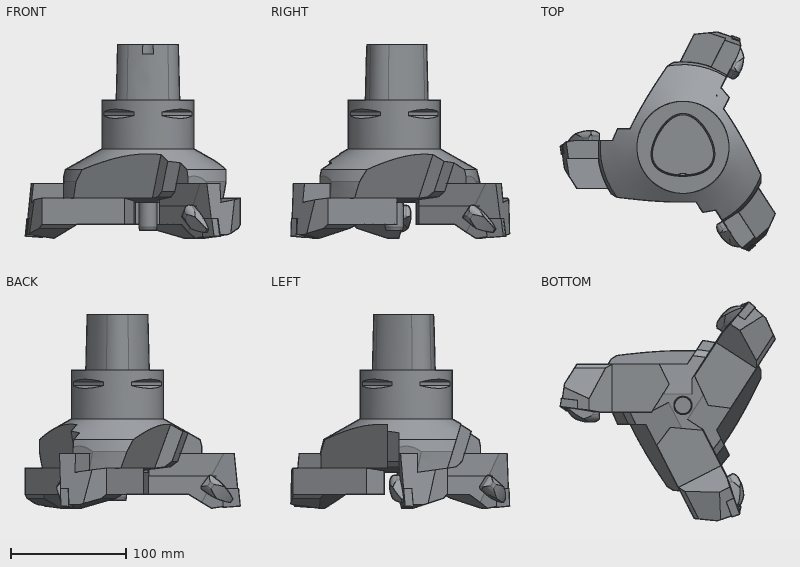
import cadquery as cq
import math

ARM_ANGLES = [180, 303, 63]
REACH = 152.1

TOP_Z = 168.5
FLANGE_TOP_Z = 120.2
FLANGE_BOTTOM_Z = 77.8
FLANGE_RADIUS = 80.0 / 2
SHANK_RADIUS = 27.4
SHANK_LOBE = 2.0
LOBE_HALF_ANGLE = 24
SHANK_SPLINE_SPANS = 12
SHANK_TAPER = 1 / 40
KEYWAY_RADIUS = 8.5
KEYWAY_FLOOR = 22.6
KEYWAY_DEPTH = 8.4
GRIP_Z = 108.2
GRIP_FLOOR = 35.5
GRIP_FLOOR_HEIGHT = 3.0
GRIP_MOUTH_HEIGHT = 8.0

CONE_RADIUS = 71.9
CONE_BOTTOM_Z = 59.7
BAND_RADIUS = 74.4
BAND_BOTTOM_RADIUS = 73.8
BAND_TOP_Z = 49.3
HOUSING_BOTTOM_Z = 31.4
ARM_END_FLAT = 73.2
HUB_RADIUS = 16.0 / 2
HUB_BOTTOM_Z = 7.0
HUB_CHAMFER_HEIGHT = 2.7
HUB_CHAMFER = 0.8

NOTCH_Z = 72.8
NOTCH_LEAN = math.tan(math.radians(20))
NOTCH_INNER_X = 46.0
NOTCH_STEP_X = 59.0
NOTCH_OUTER_X = 63.9
NOTCH_STEP_Y = -16.4
NOTCH_CHAMFER = 4.4
NOTCH_CHAMFER_NEAR = (48.7, -11.2, 36.7)

FACE_Y = -6.0
RAIL_BACK_Y = 9.9
SLIDE_BACK_Y = 36.0
RAIL_TOP_Z = 47.7
LEDGE_BACK_Z = 35.0
FACE_STEP_Z = 28.1
FACE_STEP = 0.5
BAR_BOTTOM_Z = 12.2
UNDERSIDE_BEND = (32.5, 8.7)
UNDERSIDE_FLAT_Y = 5.9
INNER_FACE_X = 27.4
INNER_POINT = (12.0, 18.5)
INNER_BACK_X = 20.5
BACK_CORNER_X = 92.0
BACK_CUT_SLOPE = 0.64
TOE_START_X = 61.6
TOE_X = 81.5
END_X = 106.7
END_Y = -4.8
END_SKEW = 0.14
END_DRAFT = 0.11
TOE_RISE = 3.8

HINGE_X = 92.2
HINGE_ANGLE = 29
TIP_TILT = 0.15

INSERT_INNER_X = 91.7
INSERT_TOP_Z = 17.3
INSERT_INNER_Z = 0.8
INSERT_TIP_Z = 1.9
INSERT_THICKNESS = 7.2
INSERT_OVERHANG = 0.8

CLAMP_X = 75.9
CLAMP_Z = 23.8
CLAMP_ANGLE = 36.5
CLAMP_LENGTH = 29.0
CLAMP_WIDTH = 14.8
CLAMP_TIP_WIDTH = 3.8
CLAMP_SHOULDER = 8.4
CLAMP_BEND = 20.0
CLAMP_BEND_HALF_WIDTH = 5.5
CLAMP_BACK_CORNER = 2.3
CLAMP_TOP = 14.5
CLAMP_BACK_HEIGHT = 9.9
CLAMP_BEND_HEIGHT = 10.5
CLAMP_TIP_HEIGHT = 4.2
CLAMP_ARCH_START = 8.0
CLAMP_ARCH_MIDDLE = (5.7, 12.4)
CLAMP_CROWN_WIDTH = 4.5
CLAMP_CROWN_START = 4.5
CLAMP_BACK_ARC_MIDDLE = (1.1, 13.0)


def turned(shape, angle):
    return shape.rotate((0, 0, 0), (0, 0, 1), angle)


def leaning_prism(points, z, rise, lean):
    """Prism on the plan polygon at height z; its top is shifted by lean along X."""
    base = cq.Wire.makePolygon([cq.Vector(x, y, z) for x, y in points], close=True)
    return cq.Workplane(cq.Solid.extrudeLinear(base, [], cq.Vector(lean, 0, rise)))


def across(points, y_start, y_end):
    """Prism on a polygon in X and Z, running along Y."""
    plane = cq.Plane(origin=(0, y_start, 0), xDir=(1, 0, 0), normal=(0, -1, 0))
    return cq.Workplane(plane).polyline(points).close().extrude(y_start - y_end)


def along(points, x_start, x_end):
    """Prism on a polygon in Y and Z, running along X."""
    return cq.Workplane("YZ", origin=(x_start, 0, 0)).polyline(points).close().extrude(x_end - x_start)


def shank_wire(radius, z):
    """Rounded-triangle outline with one lobe towards +Y, split at both sides of every lobe."""

    def point(degrees):
        angle = math.radians(degrees)
        x = radius * math.cos(angle) - SHANK_LOBE * math.sin(2 * angle)
        y = radius * math.sin(angle) - SHANK_LOBE * math.cos(2 * angle)
        return cq.Vector(x, y, z)

    edges = []
    for lobe in (90, 210, 330):
        corners = [lobe - LOBE_HALF_ANGLE, lobe + LOBE_HALF_ANGLE, lobe + 120 - LOBE_HALF_ANGLE]
        for start, stop in zip(corners, corners[1:]):
            step = (stop - start) / SHANK_SPLINE_SPANS
            edges.append(cq.Edge.makeSpline([point(start + step * k) for k in range(SHANK_SPLINE_SPANS + 1)]))
    return cq.Wire.assembleEdges(edges)


def make_shank():
    height = TOP_Z - FLANGE_TOP_Z
    base = shank_wire(SHANK_RADIUS, FLANGE_TOP_Z)
    top = shank_wire(SHANK_RADIUS - SHANK_TAPER * height, TOP_Z)
    shank = cq.Workplane(cq.Solid.makeLoft([base, top], True))
    keyway = (
        cq.Workplane("XY", origin=(0, -KEYWAY_FLOOR - KEYWAY_RADIUS, TOP_Z))
        .circle(KEYWAY_RADIUS)
        .extrude(-KEYWAY_DEPTH)
    )
    return shank.cut(keyway)


def make_grip_groove():
    slope = (GRIP_MOUTH_HEIGHT - GRIP_FLOOR_HEIGHT) / 2 / (FLANGE_RADIUS - GRIP_FLOOR)
    outer = FLANGE_RADIUS + 1.9
    floor_half = GRIP_FLOOR_HEIGHT / 2
    outer_half = floor_half + slope * (outer - GRIP_FLOOR)
    section = [
        (GRIP_FLOOR, GRIP_Z - floor_half),
        (outer, GRIP_Z - outer_half),
        (outer, GRIP_Z + outer_half),
        (GRIP_FLOOR, GRIP_Z + floor_half),
    ]
    return across(section, -FLANGE_RADIUS, FLANGE_RADIUS)


def make_core():
    profile = [
        (0, HUB_BOTTOM_Z),
        (HUB_RADIUS - HUB_CHAMFER, HUB_BOTTOM_Z),
        (HUB_RADIUS, HUB_BOTTOM_Z + HUB_CHAMFER_HEIGHT),
        (HUB_RADIUS, HOUSING_BOTTOM_Z),
        (BAND_BOTTOM_RADIUS, HOUSING_BOTTOM_Z),
        (BAND_RADIUS, BAND_TOP_Z),
        (CONE_RADIUS, CONE_BOTTOM_Z),
        (FLANGE_RADIUS, FLANGE_BOTTOM_Z),
        (FLANGE_RADIUS, FLANGE_TOP_Z),
        (0, FLANGE_TOP_Z),
    ]
    return cq.Workplane("XZ").polyline(profile).close().revolve(360, (0, 0), (0, 1))


def make_chip_notch(pitch):
    """Space in front of an arm, up to the flank that runs parallel to the next arm."""
    flank = math.radians(pitch)
    outline = [
        (REACH, FACE_Y),
        (NOTCH_OUTER_X, FACE_Y),
        (NOTCH_STEP_X, NOTCH_STEP_Y),
        (NOTCH_INNER_X, NOTCH_STEP_Y),
        (NOTCH_INNER_X + REACH * math.cos(flank), NOTCH_STEP_Y - REACH * math.sin(flank)),
        (REACH, -REACH),
    ]
    top = FLANGE_BOTTOM_Z - NOTCH_Z
    upper = leaning_prism(outline, NOTCH_Z, top, NOTCH_LEAN * top)
    lower = leaning_prism(outline, NOTCH_Z, -NOTCH_Z, -NOTCH_LEAN * NOTCH_Z)
    front_side = cq.Workplane("XY").box(REACH, REACH, REACH, centered=False).translate((0, FACE_Y - REACH, 0))
    underside = turned(make_ledge_relief(-REACH), -pitch).intersect(front_side)
    notch = upper.union(lower).union(underside)
    edge = cq.NearestToPointSelector(NOTCH_CHAMFER_NEAR)
    return notch.edges(edge).chamfer(NOTCH_CHAMFER)


def make_ledge_relief(start_x):
    """Wedge under the housing, on the sloping plane that rests on the slide's ledge."""
    slope = (LEDGE_BACK_Z - HOUSING_BOTTOM_Z) / (SLIDE_BACK_Y - RAIL_BACK_Y)
    section = [
        (RAIL_BACK_Y, HOUSING_BOTTOM_Z),
        (REACH / 2, HOUSING_BOTTOM_Z + slope * (REACH / 2 - RAIL_BACK_Y)),
        (REACH / 2, HOUSING_BOTTOM_Z),
    ]
    return along(section, start_x, REACH)


def make_housing():
    housing = make_core().union(make_shank())
    for quarter in range(4):
        housing = housing.cut(turned(make_grip_groove(), 45 + 90 * quarter))
    beyond_arm = cq.Workplane("XY").box(REACH, REACH, FLANGE_BOTTOM_Z, centered=(False, True, False))
    beyond_arm = beyond_arm.translate((ARM_END_FLAT, 0, 0))
    channel = make_slide_blank()
    for angle in ARM_ANGLES:
        pitch = min((angle - other) % 360 for other in ARM_ANGLES if other != angle)
        housing = housing.cut(turned(make_chip_notch(pitch), angle))
    for angle in ARM_ANGLES:
        housing = housing.cut(turned(make_ledge_relief(-HUB_RADIUS), angle))
        housing = housing.cut(turned(channel, angle))
        housing = housing.cut(turned(beyond_arm, angle))
    return housing


def make_end_trim(overhang):
    """Everything beyond the skewed, drafted end face, moved out by overhang."""
    base_x = END_X + overhang
    outline = [
        (base_x - END_SKEW * (-REACH - END_Y), -REACH),
        (base_x - END_SKEW * (REACH - END_Y), REACH),
        (2 * REACH, REACH),
        (2 * REACH, -REACH),
    ]
    return leaning_prism(outline, 0, RAIL_TOP_Z, -END_DRAFT * RAIL_TOP_Z)


def make_slide_blank():
    """Slide before the tip face, insert pocket and clamp: plan, section and side shapes combined."""
    plan = [
        (INNER_FACE_X, FACE_Y),
        INNER_POINT,
        (INNER_BACK_X, SLIDE_BACK_Y),
        (BACK_CORNER_X, SLIDE_BACK_Y),
        (BACK_CORNER_X + BACK_CUT_SLOPE * (SLIDE_BACK_Y - FACE_Y), FACE_Y),
    ]
    section = [
        (FACE_Y, RAIL_TOP_Z),
        (RAIL_BACK_Y, RAIL_TOP_Z),
        (RAIL_BACK_Y, HOUSING_BOTTOM_Z),
        (SLIDE_BACK_Y, LEDGE_BACK_Z),
        (SLIDE_BACK_Y, BAR_BOTTOM_Z),
        UNDERSIDE_BEND,
        (UNDERSIDE_FLAT_Y, 0),
        (FACE_Y + FACE_STEP, 0),
        (FACE_Y + FACE_STEP, FACE_STEP_Z),
        (FACE_Y, FACE_STEP_Z),
    ]
    side = [
        (0, RAIL_TOP_Z),
        (0, BAR_BOTTOM_Z),
        (TOE_START_X, BAR_BOTTOM_Z),
        (TOE_X, 0),
        (END_X, TOE_RISE),
        (REACH, TOE_RISE),
        (REACH, RAIL_TOP_Z),
    ]
    blank = cq.Workplane("XY").polyline(plan).close().extrude(RAIL_TOP_Z)
    blank = blank.intersect(along(section, 0, REACH))
    blank = blank.intersect(across(side, SLIDE_BACK_Y, FACE_Y))
    return blank.cut(make_end_trim(0))


def make_tip_space(depth):
    """Space in front of the tilted tip face, moved back by depth along Y."""
    hinge = math.radians(HINGE_ANGLE)
    plane = cq.Plane(
        origin=(HINGE_X, FACE_Y + depth, RAIL_TOP_Z),
        xDir=(math.cos(hinge), 0, -math.sin(hinge)),
        normal=(-math.sin(hinge), 0, -math.cos(hinge)),
    )
    outline = [
        (0, 0),
        (REACH, -TIP_TILT * REACH),
        (REACH, REACH),
        (-depth / TIP_TILT, REACH),
        (-depth / TIP_TILT, depth),
    ]
    return cq.Workplane(plane).polyline(outline).close().extrude(REACH, both=True)


def make_insert():
    outline = [
        (INSERT_INNER_X, INSERT_INNER_Z),
        (END_X, INSERT_TIP_Z),
        (REACH, INSERT_TIP_Z),
        (REACH, INSERT_TOP_Z),
        (INSERT_INNER_X, INSERT_TOP_Z),
    ]
    insert = across(outline, SLIDE_BACK_Y, FACE_Y).cut(make_end_trim(INSERT_OVERHANG))
    return insert.cut(make_tip_space(0)).intersect(make_tip_space(INSERT_THICKNESS))


def make_clamp():
    """Rounded nose that leans on the insert: plan, side and arched section combined."""
    tilt = math.radians(CLAMP_ANGLE)
    back = (CLAMP_X, 0, CLAMP_Z)
    axis = (math.cos(tilt), 0, -math.sin(tilt))
    sideways = (math.sin(tilt), 0, math.cos(tilt))
    half = CLAMP_WIDTH / 2
    tip = CLAMP_TIP_WIDTH / 2
    crown = CLAMP_CROWN_WIDTH / 2
    arch_offset, arch_height = CLAMP_ARCH_MIDDLE
    inset = CLAMP_BACK_CORNER * (1 - math.sqrt(0.5))
    outline = (
        cq.Workplane(cq.Plane(origin=back, xDir=axis, normal=(0, -1, 0)))
        .moveTo(CLAMP_BACK_CORNER, -half)
        .lineTo(CLAMP_SHOULDER, -half)
        .threePointArc((CLAMP_BEND, -CLAMP_BEND_HALF_WIDTH), (CLAMP_LENGTH, -tip))
        .lineTo(CLAMP_LENGTH, tip)
        .threePointArc((CLAMP_BEND, CLAMP_BEND_HALF_WIDTH), (CLAMP_SHOULDER, half))
        .lineTo(CLAMP_BACK_CORNER, half)
        .threePointArc((inset, half - inset), (0, half - CLAMP_BACK_CORNER))
        .lineTo(0, CLAMP_BACK_CORNER - half)
        .threePointArc((inset, inset - half), (CLAMP_BACK_CORNER, -half))
        .close()
        .extrude(CLAMP_TOP)
    )
    side = (
        cq.Workplane(cq.Plane(origin=back, xDir=axis, normal=(-math.sin(tilt), 0, -math.cos(tilt))))
        .lineTo(0, CLAMP_BACK_HEIGHT)
        .threePointArc(CLAMP_BACK_ARC_MIDDLE, (CLAMP_CROWN_START, CLAMP_TOP))
        .lineTo(CLAMP_SHOULDER, CLAMP_TOP)
        .threePointArc((CLAMP_BEND, CLAMP_BEND_HEIGHT), (CLAMP_LENGTH, CLAMP_TIP_HEIGHT))
        .lineTo(CLAMP_LENGTH, 0)
        .close()
        .extrude(CLAMP_WIDTH, both=True)
    )
    arch = (
        cq.Workplane(cq.Plane(origin=back, xDir=sideways, normal=axis))
        .moveTo(-half, 0)
        .lineTo(-half, CLAMP_ARCH_START)
        .threePointArc((-arch_offset, arch_height), (-crown, CLAMP_TOP))
        .lineTo(crown, CLAMP_TOP)
        .threePointArc((arch_offset, arch_height), (half, CLAMP_ARCH_START))
        .lineTo(half, 0)
        .close()
        .extrude(CLAMP_LENGTH)
    )
    return outline.intersect(side).intersect(arch)


def make_slide(insert):
    return make_slide_blank().cut(make_tip_space(0)).union(make_clamp()).cut(insert)


housing = make_housing()
insert = make_insert()
slide = make_slide(insert)
slides = [turned(slide, angle).val() for angle in ARM_ANGLES]
inserts = [turned(insert, angle).val() for angle in ARM_ANGLES]
result = cq.Compound.makeCompound([housing.val(), *slides, *inserts])